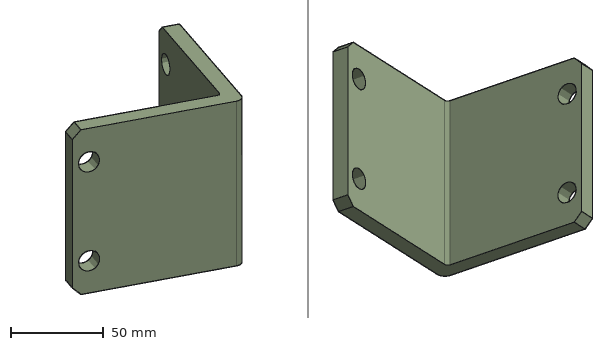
import cadquery as cq

leg_length = 100.0
height = 100.0
thickness = 10.0
outer_bend_radius = 5.0
inner_bend_radius = 2.0
corner_chamfer = 5.0

back_leg_holes = [(10.1, 29.8, 11.97), (10.2, -30.85, 12.01)]
side_leg_holes = [(9.7, 29.65, 12.07), (9.8, -30.4, 12.09)]

half_length = leg_length / 2
inner_face = half_length - thickness


def angle_profile():
    """L-shaped section: one leg along X at the +Y side, one along Y at the +X side."""
    return (
        cq.Workplane("XY")
        .workplane(offset=-height / 2)
        .moveTo(-half_length, half_length)
        .lineTo(half_length, half_length)
        .lineTo(half_length, -half_length)
        .lineTo(inner_face, -half_length)
        .lineTo(inner_face, inner_face)
        .lineTo(-half_length, inner_face)
        .close()
    )


def bent_angle():
    """Extruded angle with rounded inner and outer bend and chamfered free corners."""
    body = angle_profile().extrude(height)
    body = body.edges("|Z and (>X and >Y)").fillet(outer_bend_radius)
    inner_corner = cq.selectors.NearestToPointSelector((inner_face, inner_face, 0))
    body = body.edges(inner_corner).fillet(inner_bend_radius)
    body = body.faces("<X").edges("|Y").chamfer(corner_chamfer)
    return body.faces("<Y").edges("|X").chamfer(corner_chamfer)


def drill_leg(body, plane, holes):
    """Cut through holes normal to the plane, placed from the free end of a leg."""
    for end_distance, hole_height, diameter in holes:
        drill = (
            cq.Workplane(plane)
            .center(end_distance - half_length, hole_height)
            .circle(diameter / 2)
            .extrude(leg_length, both=True)
        )
        body = body.cut(drill)
    return body


result = bent_angle()
result = drill_leg(result, "XZ", back_leg_holes)
result = drill_leg(result, "YZ", side_leg_holes)